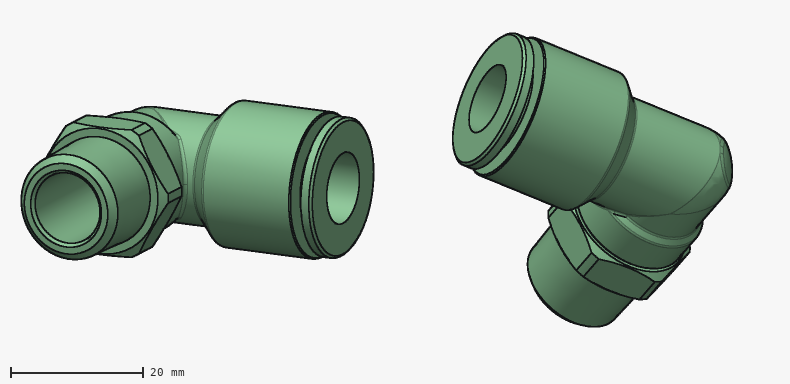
import cadquery as cq
import math


ELBOW_DIAMETER = 17.0
BORE_DIAMETER = 11.0
ELBOW_RADIUS = ELBOW_DIAMETER / 2
MITRE_ANGLE = math.radians(45)
BORE_RADIUS = BORE_DIAMETER / 2

CORNER_START_ANGLE = math.radians(24)
CORNER_START = ELBOW_RADIUS * math.tan(CORNER_START_ANGLE)
CORNER_APEX = CORNER_START * math.sqrt(2) + ELBOW_RADIUS - CORNER_START
PAD_APEX = 9.53
PAD_WIDTH_RADIUS = 7.9
PAD_HEIGHT_RADIUS = 13.2
PAD_EDGE_ROUND = 2.0

BLEND_RADIUS = 0.5

COLLAR_DIAMETER = 19.0
COLLAR_STEP = 5.03
COLLAR_SHOULDER = COLLAR_STEP + (COLLAR_DIAMETER - ELBOW_DIAMETER) / 2
COLLAR_END = 11.95
COLLAR_CHAMFER = 0.35
HEX_START = COLLAR_END
HEX_END = 18.05
HEX_ACROSS_FLATS = 20.0
HEX_CORNER_DIAMETER = 22.3
HEX_FACE_DIAMETER = 19.6
HEX_CHAMFER_ANGLE = math.radians(30)
THREAD_END = 29.5
THREAD_BASE_DIAMETER = 17.0
THREAD_TIP_DIAMETER = 16.4
THREAD_FACE_DIAMETER = 14.15
THREAD_CHAMFER_LENGTH = 1.15
BORE_CHAMFER = 0.5

CONE_START = 11.08
SOCKET_END = 28.75
SOCKET_DIAMETER = 22.5
SOCKET_START = CONE_START + (SOCKET_DIAMETER - ELBOW_DIAMETER) / 2
SOCKET_END_CHAMFER = 0.2
RING_NECK_DIAMETER = 15.7
RING_FLANGE_START = 30.35
RING_FLANGE_DIAMETER = 21.5
RING_END = 32.1
RING_CHAMFER = 0.4

OVERRUN = 1.0
SELECTION_MARGIN = 0.05


def revolve_on_thread_axis(profile):
    """Turn (radius, distance along -Y) points about the thread axis."""
    points = [(radius, -distance) for radius, distance in profile]
    return cq.Workplane("XY").polyline(points).close().revolve(360, (0, 0, 0), (0, 1, 0))


def revolve_on_socket_axis(profile):
    """Turn (distance along +X, radius) points about the socket axis."""
    return cq.Workplane("XY").polyline(profile).close().revolve(360, (0, 0, 0), (1, 0, 0))


def leg_wedge(outer_angle, reach):
    """Block on the thread side of the leg's mitre planes.

    The inner plane is the 45 degree diagonal; the outer one rises from -X by outer_angle.
    """
    outer_height = reach * math.tan(outer_angle)
    return (
        cq.Workplane("XY")
        .polyline([(0, 0), (-reach, outer_height), (-reach, -reach), (reach, -reach)])
        .close()
        .extrude(reach, both=True)
    )


def swap_legs(shape):
    """Mirror a shape in the plane y = -x, which exchanges the two elbow axes."""
    return shape.rotate((0, 0, 0), (0, 0, 1), 45).mirror("XZ").rotate((0, 0, 0), (0, 0, 1), -45)


def elbow_leg(radius, length, outer_angle):
    """Round leg along -Y with its upper end cut to the mitre planes."""
    leg = revolve_on_thread_axis(
        [(0, -2 * radius), (radius, -2 * radius), (radius, length), (0, length)]
    )
    return leg.intersect(leg_wedge(outer_angle, 2 * length))


def make_pad_dome():
    """Barrel whose outermost point along +X is the apex of the corner pad."""
    axis_position = PAD_APEX - PAD_WIDTH_RADIUS
    half_height = ELBOW_RADIUS
    end_drop = PAD_HEIGHT_RADIUS - math.sqrt(PAD_HEIGHT_RADIUS**2 - half_height**2)
    end_radius = PAD_WIDTH_RADIUS - end_drop
    return (
        cq.Workplane("XZ")
        .moveTo(0, -half_height)
        .lineTo(end_radius, -half_height)
        .threePointArc((PAD_WIDTH_RADIUS, 0), (end_radius, half_height))
        .lineTo(0, half_height)
        .close()
        .revolve(360, (0, 0, 0), (0, 1, 0))
        .rotate((0, 0, 0), (0, 0, 1), 180)
        .translate((axis_position, 0, 0))
    )


def make_corner():
    """Outer corner of the elbow: a sector of an ellipsoid, eased to a domed pad.

    It is shaped with the corner's diagonal along +X and turned into place at the end.
    """
    meeting_depth = (ELBOW_RADIUS + CORNER_START) * math.sqrt(0.5)
    meeting_width = (ELBOW_RADIUS - CORNER_START) * math.sqrt(0.5)
    depth_ratio = meeting_depth / CORNER_APEX
    half_width = meeting_width / math.sqrt(1 - depth_ratio**2)
    half_sector = math.degrees(math.acos(depth_ratio))
    unit_sector = (
        cq.Workplane("XZ")
        .moveTo(0, -1)
        .threePointArc((1, 0), (0, 1))
        .close()
        .revolve(2 * half_sector, (0, 0, 0), (0, 1, 0))
        .rotate((0, 0, 0), (0, 0, 1), -half_sector)
    )
    stretch = cq.Matrix([
        [CORNER_APEX, 0, 0, 0],
        [0, half_width, 0, 0],
        [0, 0, ELBOW_RADIUS, 0],
        [0, 0, 0, 1],
    ])
    corner = cq.Workplane(unit_sector.val().transformGeometry(stretch))
    corner = corner.intersect(make_pad_dome())
    pad_edge = corner.faces(cq.selectors.NearestToPointSelector((PAD_APEX, 0, 0))).edges()
    corner = corner.newObject(pad_edge.vals()).fillet(PAD_EDGE_ROUND)
    return corner.rotate((0, 0, 0), (0, 0, 1), 135)


def make_elbow():
    """Two mitred legs joined by the rounded outer corner."""
    thread_leg = elbow_leg(ELBOW_RADIUS, COLLAR_END, CORNER_START_ANGLE)
    socket_leg = swap_legs(elbow_leg(ELBOW_RADIUS, SOCKET_START, CORNER_START_ANGLE))
    return socket_leg.union(make_corner()).union(thread_leg)


def make_collar():
    """Stepped collar between the elbow and the hexagon, with a blended upper shoulder."""
    radius = COLLAR_DIAMETER / 2
    collar = revolve_on_thread_axis([
        (0, COLLAR_STEP - BLEND_RADIUS),
        (ELBOW_RADIUS, COLLAR_STEP - BLEND_RADIUS),
        (ELBOW_RADIUS, COLLAR_STEP),
        (radius, COLLAR_SHOULDER),
        (radius, COLLAR_END - COLLAR_CHAMFER),
        (radius - COLLAR_CHAMFER, COLLAR_END),
        (0, COLLAR_END),
    ])
    shoulder_box = cq.selectors.BoxSelector(
        (-radius, -COLLAR_SHOULDER - COLLAR_CHAMFER, -radius),
        (radius, -COLLAR_STEP + COLLAR_CHAMFER, radius),
    )
    return collar.edges("%CIRCLE").edges(shoulder_box).fillet(BLEND_RADIUS)


def make_hexagon():
    """Wrench hexagon with turned corners and 30 degree chamfers on both ends."""
    length = HEX_END - HEX_START
    hexagon = (
        cq.Workplane("XZ", origin=(0, -HEX_START, 0))
        .polygon(6, HEX_ACROSS_FLATS / math.cos(math.pi / 6))
        .extrude(length)
    )
    corner_radius = HEX_CORNER_DIAMETER / 2
    face_radius = HEX_FACE_DIAMETER / 2
    chamfer_length = (corner_radius - face_radius) * math.tan(HEX_CHAMFER_ANGLE)
    envelope = revolve_on_thread_axis([
        (0, HEX_START),
        (face_radius, HEX_START),
        (corner_radius, HEX_START + chamfer_length),
        (corner_radius, HEX_END - chamfer_length),
        (face_radius, HEX_END),
        (0, HEX_END),
    ])
    return hexagon.intersect(envelope)


def make_thread():
    """Tapered thread blank with a chamfered tip."""
    return revolve_on_thread_axis([
        (0, HEX_END),
        (THREAD_BASE_DIAMETER / 2, HEX_END),
        (THREAD_TIP_DIAMETER / 2, THREAD_END - THREAD_CHAMFER_LENGTH),
        (THREAD_FACE_DIAMETER / 2, THREAD_END),
        (0, THREAD_END),
    ])


def make_socket():
    """Tube socket with its entry cone and the release ring at its mouth."""
    socket_radius = SOCKET_DIAMETER / 2
    neck_radius = RING_NECK_DIAMETER / 2
    flange_radius = RING_FLANGE_DIAMETER / 2
    socket = revolve_on_socket_axis([
        (CONE_START - BLEND_RADIUS, 0),
        (CONE_START - BLEND_RADIUS, ELBOW_RADIUS),
        (CONE_START, ELBOW_RADIUS),
        (SOCKET_START, socket_radius),
        (SOCKET_END - SOCKET_END_CHAMFER, socket_radius),
        (SOCKET_END, socket_radius - SOCKET_END_CHAMFER),
        (SOCKET_END, neck_radius),
        (RING_FLANGE_START, neck_radius),
        (RING_FLANGE_START, flange_radius),
        (RING_END - RING_CHAMFER, flange_radius),
        (RING_END, flange_radius - RING_CHAMFER),
        (RING_END, 0),
    ])
    cone_box = cq.selectors.BoxSelector(
        (CONE_START - BLEND_RADIUS / 2, -socket_radius, -socket_radius),
        (SOCKET_START + BLEND_RADIUS, socket_radius, socket_radius),
    )
    return socket.edges("%CIRCLE").edges(cone_box).fillet(BLEND_RADIUS)


def make_bore():
    """Mitred through bore with a chamfer at the thread mouth."""
    thread_bore = elbow_leg(BORE_RADIUS, THREAD_END + OVERRUN, MITRE_ANGLE)
    socket_bore = swap_legs(elbow_leg(BORE_RADIUS, RING_END + OVERRUN, MITRE_ANGLE))
    mouth = revolve_on_thread_axis([
        (0, THREAD_END - BORE_CHAMFER),
        (BORE_RADIUS, THREAD_END - BORE_CHAMFER),
        (BORE_RADIUS + BORE_CHAMFER, THREAD_END),
        (0, THREAD_END),
    ])
    return thread_bore.union(socket_bore).union(mouth)


def blend_crotch(fitting):
    """Fillet the inner corner where the collar and the thread leg run into the socket leg."""
    collar_radius = COLLAR_DIAMETER / 2
    crotch_box = cq.selectors.BoxSelector(
        (-SELECTION_MARGIN, -ELBOW_RADIUS - SELECTION_MARGIN, -collar_radius),
        (collar_radius + SELECTION_MARGIN, SELECTION_MARGIN, collar_radius),
        boundingbox=True,
    )
    return fitting.edges(crotch_box).fillet(BLEND_RADIUS)


body = make_elbow()
for section in (make_collar(), make_hexagon(), make_thread(), make_socket()):
    body = body.union(section)
body = blend_crotch(body)

result = body.cut(make_bore())